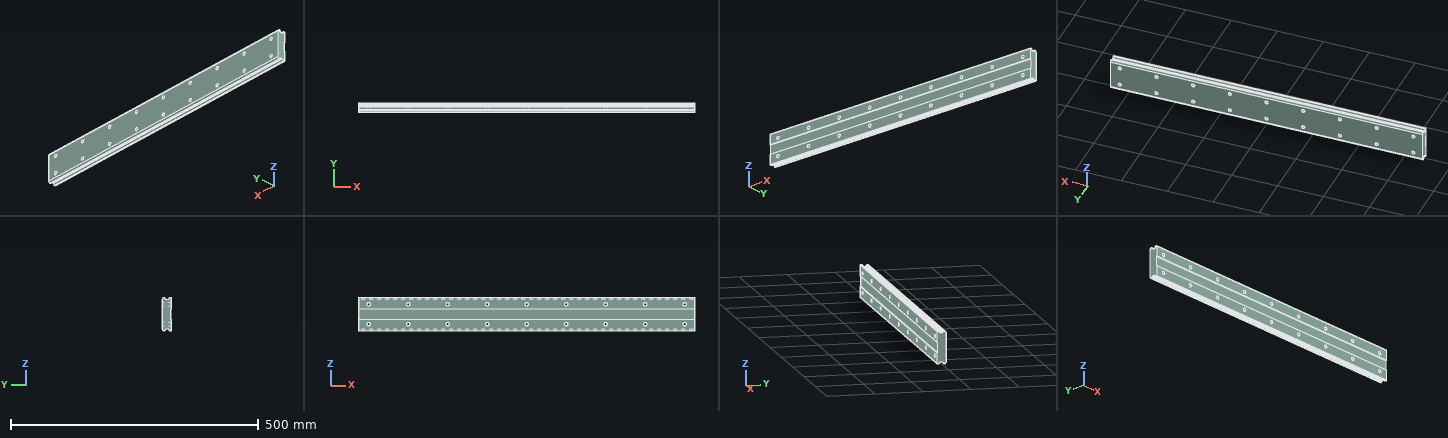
import cadquery as cq
import math

length = 680.0
thickness = 19.0
height = 69.0

front_chamfer = 0.95
flange_thickness = 3.75
groove_wall_angle = 60.0
groove_depth = 4.0

bevel_angle = 60.0
bevel_inset = 1.5
bevel_depth = 1.7
crest_back_inset = 3.05
crest_front_inset = 5.0
flank_foot_inset = 6.0
flank_foot_depth = 2.0
shelf_end_inset = 7.15
shelf_end_depth = 2.45
bead_foot_inset = 8.0

hole_diameter = 6.45
hole_count = 9
hole_pitch = 79.9
hole_row_spacing = 40.0

recess_mouth = 22.0
recess_floor = 20.5
recess_depth = 1.0

front = -thickness / 2
back = thickness / 2
top = height / 2


def rail_body():
    """Extrude the upper half of the cross-section along X and mirror it downwards."""
    angle = math.radians(groove_wall_angle)
    flange_end = front + flange_thickness
    floor_start = flange_end + groove_depth / math.tan(angle)
    back_edge_depth = bevel_depth + bevel_inset * math.tan(math.radians(bevel_angle))

    flange = [
        (front, 0),
        (front, top - front_chamfer),
        (front + front_chamfer, top),
        (flange_end, top),
        (floor_start, top - groove_depth),
    ]
    bead = [
        (back - bead_foot_inset, top - groove_depth),
        (back - shelf_end_inset, top - shelf_end_depth),
        (back - flank_foot_inset, top - flank_foot_depth),
        (back - crest_front_inset, top),
        (back - crest_back_inset, top),
        (back - bevel_inset, top - bevel_depth),
        (back, top - back_edge_depth),
        (back, 0),
    ]
    profile = cq.Workplane("YZ").polyline(flange + bead).close()
    upper_half = profile.extrude(length / 2, both=True)
    return upper_half.union(upper_half.mirror("XY"))


def mounting_holes():
    """Cylinders that cut both rows of holes through the thickness."""
    return (
        cq.Workplane("XZ")
        .rarray(hole_pitch, hole_row_spacing, hole_count, 2)
        .circle(hole_diameter / 2)
        .extrude(thickness, both=True)
    )


def front_recess():
    """Bar with a trapezoidal section that cuts the recess in the front face."""
    return (
        cq.Workplane("YZ")
        .moveTo(front, -recess_mouth / 2)
        .lineTo(front, recess_mouth / 2)
        .lineTo(front + recess_depth, recess_floor / 2)
        .lineTo(front + recess_depth, -recess_floor / 2)
        .close()
        .extrude(length / 2, both=True)
    )


result = rail_body().cut(mounting_holes()).cut(front_recess())